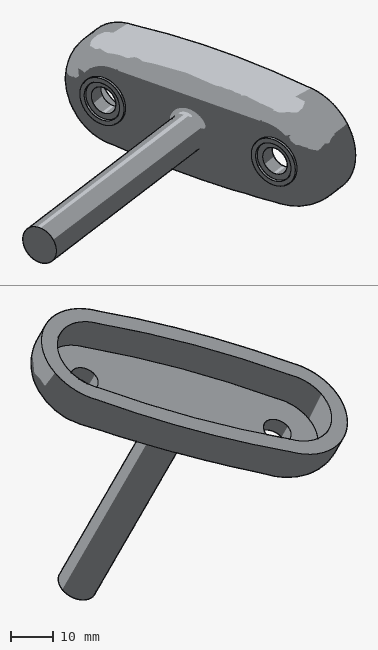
import cadquery as cq
import math

length = 78.2
depth = 76.2
mid_height = 31.75

plate_thickness = 12.9
rim_thickness = 5.55
end_radius = 14.5
face_half_length = 31.9
face_half_height = 9.6
face_corner_x = 20.3
face_crown = 0.1
wall = 4.1
edge_steps = 6
cavity_depth = plate_thickness - wall

shaft_radius = 4.85
shaft_fillet = 1.25

hole_spacing = length - 2 * end_radius
hole_radius = 3.5
ring_radius = 6.3
ring_bore_radius = 5.1
ring_height = 0.7
ring_bore_depth = 0.7


def draw_outline(plane, half_length, crown_z, corner_x, corner_z):
    """Bowed long sides joined by arcs at both ends."""
    return (
        plane.moveTo(-corner_x, corner_z)
        .threePointArc((0, crown_z), (corner_x, corner_z))
        .threePointArc((half_length, 0), (corner_x, -corner_z))
        .threePointArc((0, -crown_z), (-corner_x, -corner_z))
        .threePointArc((-half_length, 0), (-corner_x, corner_z))
        .close()
    )


def edge_outline(plane, angle):
    """Outline at an angle around the rounded edge: 0 at the rim, a quarter turn at the face."""
    def blend(face_size, rim_size):
        return face_size + (rim_size - face_size) * math.cos(angle)

    return draw_outline(
        plane,
        blend(face_half_length, length / 2),
        blend(face_half_height + face_crown, mid_height / 2),
        blend(face_corner_x, hole_spacing / 2),
        blend(face_half_height, end_radius),
    )


def make_plate():
    rim = edge_outline(cq.Workplane("XZ"), 0).extrude(rim_thickness)
    edge_depth = plate_thickness - rim_thickness
    sections = cq.Workplane("XZ")
    previous_y = 0
    for step in range(edge_steps + 1):
        angle = math.pi / 2 * step / edge_steps
        distance = rim_thickness + edge_depth * math.sin(angle)
        sections = edge_outline(sections.workplane(offset=distance - previous_y), angle)
        previous_y = distance
    return rim.union(sections.loft(ruled=False))


def make_cavity():
    """Hollow open at the back, inset evenly from the rim outline."""
    return edge_outline(cq.Workplane("XZ"), 0).offset2D(-wall).extrude(cavity_depth)


def make_shaft():
    """Shaft with a concave fillet at its root, as one turned profile."""
    tip_y = -depth
    face_y = -plate_thickness
    cavity_y = -cavity_depth
    root_radius = shaft_radius + shaft_fillet
    middle = shaft_fillet * (1 - math.sqrt(0.5))
    return (
        cq.Workplane("XY")
        .moveTo(0, tip_y)
        .lineTo(shaft_radius, tip_y)
        .lineTo(shaft_radius, face_y - shaft_fillet)
        .threePointArc((shaft_radius + middle, face_y - middle), (root_radius, face_y))
        .lineTo(root_radius, cavity_y)
        .lineTo(0, cavity_y)
        .close()
        .revolve(360, (0, 0, 0), (0, 1, 0))
    )


def hole_cylinders(radius, start, end):
    """Cylinders at both screw holes between two distances from the plate's back."""
    return (
        cq.Workplane("XZ")
        .workplane(offset=start)
        .pushPoints([(-hole_spacing / 2, 0), (hole_spacing / 2, 0)])
        .circle(radius)
        .extrude(end - start)
    )


ring_top = plate_thickness + ring_height

result = (
    make_plate()
    .cut(make_cavity())
    .union(make_shaft())
    .union(hole_cylinders(ring_radius, cavity_depth, ring_top))
    .cut(hole_cylinders(ring_bore_radius, ring_top - ring_bore_depth, ring_top))
    .cut(hole_cylinders(hole_radius, 0, ring_top))
)